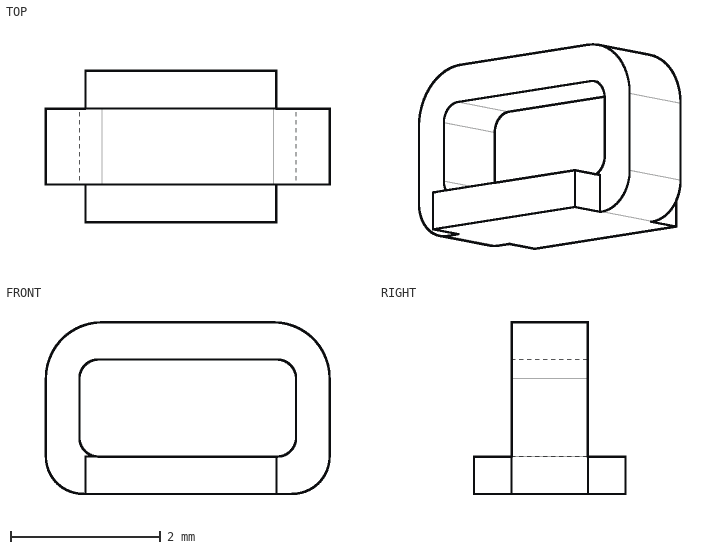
import cadquery as cq

loop_width = 3.8
loop_height = 2.3
loop_depth = 1.02
top_corner_radius = 0.752
bottom_corner_radius = 0.5

side_wall = 0.452
bar_thickness = 0.5
opening_radius = 0.25
opening_width = loop_width - 2 * side_wall
opening_height = loop_height - 2 * bar_thickness

foot_length = 2.555
foot_depth = 2.03
foot_left_inset = 0.532
foot_center_x = foot_left_inset + (foot_length - loop_width) / 2


def make_loop():
    """Rounded ring standing on Z = 0, centred on X and Y."""
    base_centered = (True, True, False)
    body = cq.Workplane("XY").box(loop_width, loop_depth, loop_height, centered=base_centered)
    body = body.edges("|Y and >Z").fillet(top_corner_radius)
    body = body.edges("|Y and <Z").fillet(bottom_corner_radius)
    opening = (
        cq.Workplane("XY", origin=(0, 0, bar_thickness))
        .box(opening_width, loop_depth, opening_height, centered=base_centered)
        .edges("|Y")
        .fillet(opening_radius)
    )
    return body.cut(opening)


def make_foot():
    """Flat block as thick as the loop's bottom bar."""
    return cq.Workplane("XY", origin=(foot_center_x, 0, 0)).box(
        foot_length, foot_depth, bar_thickness, centered=(True, True, False)
    )


result = make_loop().union(make_foot())